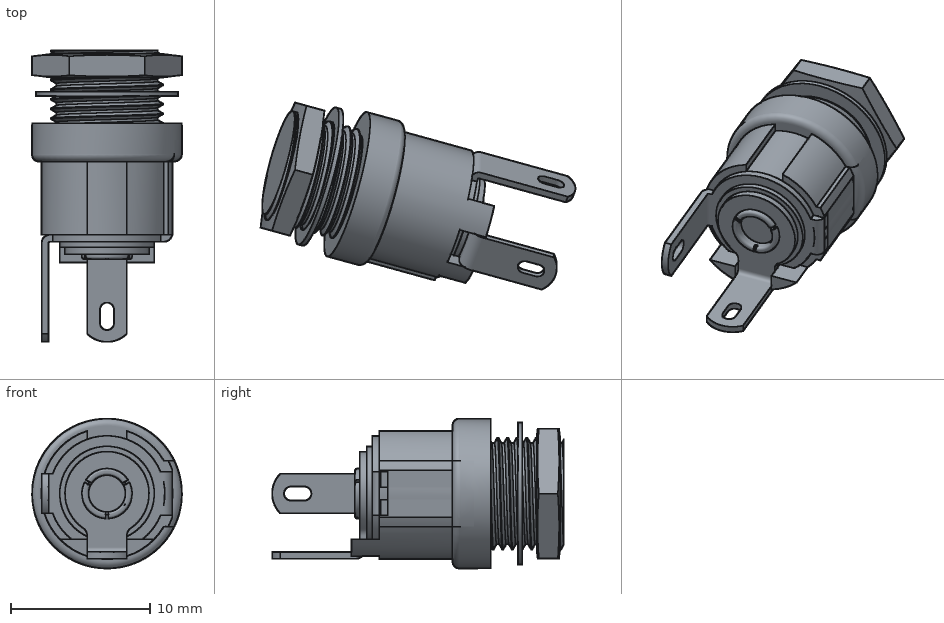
import cadquery as cq
import math


NOSE_Y = 5.25
FLANGE_BACK_Y = -2.77
BODY_BACK_Y = -8.05
FOOT_BACK_Y = -10.04
TERMINAL_END_Y = -15.75

FLANGE_R = 5.4
FLANGE_FILLET = 0.5
BODY_R = 4.72
SLOT_FLOOR_R = 4.15
FOOT_TOP_Z = -3.28
RIB_R = 5.0
RIB_FLAT_X = 4.7
RIB_WIDTH = 4.75
RIB_ROOT_FRONT_Y = -1.22
RIB_ROOT_FILLET = 0.57

THREAD_PITCH = 0.7
THREAD_CREST_R = 4.03
THREAD_ROOT_R = 3.65
THREAD_CREST_WIDTH = 0.06
THREAD_HALF_ANGLE = 30
THREAD_START_Y = -0.71
THREAD_TURNS = 10
THREAD_EMBED = 0.06

NUT_ACROSS_FLATS = 9.35
NUT_BACK_Y = 3.28
NUT_FRONT_Y = 4.98
NUT_CORNER_DROP = 0.17
WASHER_R = 5.12
WASHER_BACK_Y = 1.93
WASHER_THICKNESS = 0.34

SHEET = 0.5
OUTER_PLATE_R = SLOT_FLOOR_R
INSULATOR_R = 3.4
INSULATOR_THICKNESS = 0.4
INNER_PLATE_R = 3.02
INSULATOR_FRONT_Y = BODY_BACK_Y - SHEET
INNER_PLATE_FRONT_Y = INSULATOR_FRONT_Y - INSULATOR_THICKNESS
INNER_PLATE_BACK_Y = INNER_PLATE_FRONT_Y - SHEET

TERMINAL_WIDTH = 2.85
TERMINAL_OFFSET = 4.7
TERMINAL_TIP_HEIGHT = 0.59
EYE_WIDTH = 0.99
EYE_LENGTH = 1.95
EYE_Y = -13.9
SIDE_BEND_R = 0.06
LOWER_BEND_R = 0.34
NECK_FILLET = 0.63

LEG_WIDTH = 3.1
LEG_BEND_R = 0.13
LEG_LENGTH = 0.5

SHANK_R = 1.51
RIVET_R = 1.8
RIVET_BORE_R = 1.32
RIVET_BACK_Y = -9.79
RIVET_FILLET = 0.19
RIVET_FLOOR_Y = -9.15
RIVET_SLIT_WIDTH = 0.19
RIVET_SLIT_ANGLES = (30, 150, 270)


def cylinder(radius, front_y, back_y):
    """A solid cylinder on the Y axis between two planes."""
    return (
        cq.Workplane("YZ")
        .polyline([(back_y, 0), (back_y, radius), (front_y, radius), (front_y, 0)])
        .close()
        .revolve(360, (0, 0), (1, 0))
    )


def block(x_range, y_range, z_range):
    """An upright box given by its limits along X, Y and Z."""
    sizes = [high - low for low, high in (x_range, y_range, z_range)]
    corner = (x_range[0], y_range[0], z_range[0])
    return cq.Workplane("XY").box(*sizes, centered=False).translate(corner)



def threaded_nose():
    """The nose with its right-hand thread, cut off square at both ends."""
    inner_r = THREAD_ROOT_R - THREAD_EMBED
    half_crest = THREAD_CREST_WIDTH / 2
    half_base = half_crest + (THREAD_CREST_R - inner_r) * math.tan(math.radians(THREAD_HALF_ANGLE))
    helix = cq.Wire.makeHelix(THREAD_PITCH, THREAD_TURNS * THREAD_PITCH, THREAD_ROOT_R)
    ridge = (
        cq.Workplane("XZ")
        .polyline([
            (inner_r, -half_base),
            (THREAD_CREST_R, -half_crest),
            (THREAD_CREST_R, half_crest),
            (inner_r, half_base),
        ])
        .close()
        .sweep(cq.Workplane(helix), isFrenet=True)
        .rotate((0, 0, 0), (1, 0, 0), -90)
        .translate((0, THREAD_START_Y, 0))
    )
    ridge = ridge.intersect(cylinder(FLANGE_R, NOSE_Y, 0))
    return cylinder(THREAD_ROOT_R, NOSE_Y, 0).union(ridge)


def rounded_flange(front_y, fillet):
    """A disc of the flange radius with a rounded back edge."""
    return cylinder(FLANGE_R, front_y, FLANGE_BACK_Y).faces("<Y").edges().fillet(fillet)


def rib():
    """Flat-topped rib along the +X side of the body."""
    half_width = RIB_WIDTH / 2
    bar = block((0, RIB_FLAT_X), (BODY_BACK_Y, FLANGE_BACK_Y), (-half_width, half_width))
    return bar.intersect(cylinder(RIB_R, FLANGE_BACK_Y, BODY_BACK_Y))


def flange():
    """The flange, with the root of the rib filling a notch in its rim."""
    half_width = RIB_WIDTH / 2
    root_space = block((0, 2 * FLANGE_R), (FLANGE_BACK_Y, RIB_ROOT_FRONT_Y), (-half_width, half_width))
    rib_root = rounded_flange(RIB_ROOT_FRONT_Y, RIB_ROOT_FILLET).intersect(root_space)
    return rounded_flange(0, FLANGE_FILLET).cut(root_space).union(rib_root, clean=False)


def feet():
    """Two feet behind the body, on either side of the lower terminal."""
    segment = cylinder(BODY_R, BODY_BACK_Y, FOOT_BACK_Y).intersect(
        block((-BODY_R, BODY_R), (FOOT_BACK_Y, BODY_BACK_Y), (-BODY_R, FOOT_TOP_Z)))
    half_gap = TERMINAL_WIDTH / 2
    return segment.cut(block((-half_gap, half_gap), (FOOT_BACK_Y, BODY_BACK_Y), (-BODY_R, 0)))


def top_slot():
    """Round-floored slot along the top of the body."""
    half_width = TERMINAL_WIDTH / 2
    opening = block((-half_width, half_width), (BODY_BACK_Y, FLANGE_BACK_Y), (0, FLANGE_R))
    return opening.cut(cylinder(SLOT_FLOOR_R, FLANGE_BACK_Y, BODY_BACK_Y))


def make_housing():
    body = cylinder(BODY_R, FLANGE_BACK_Y, BODY_BACK_Y).union(rib()).union(feet())
    body = body.cut(top_slot()).cut(anchor_leg())
    return flange().union(body, clean=False).union(threaded_nose(), clean=False)



def make_nut():
    """Hexagon nut with both faces coned from the bore down to the corners."""
    corner_r = NUT_ACROSS_FLATS / math.sqrt(3)
    hexagon = (
        cq.Workplane("XZ", origin=(0, NUT_FRONT_Y, 0))
        .polygon(6, 2 * corner_r)
        .extrude(NUT_FRONT_Y - NUT_BACK_Y)
    )
    double_cone = (
        cq.Workplane("YZ")
        .polyline([
            (NUT_BACK_Y, 0),
            (NUT_BACK_Y, THREAD_CREST_R),
            (NUT_BACK_Y + NUT_CORNER_DROP, corner_r),
            (NUT_FRONT_Y - NUT_CORNER_DROP, corner_r),
            (NUT_FRONT_Y, THREAD_CREST_R),
            (NUT_FRONT_Y, 0),
        ])
        .close()
        .revolve(360, (0, 0), (1, 0))
    )
    return hexagon.intersect(double_cone).cut(cylinder(THREAD_CREST_R, NUT_FRONT_Y, NUT_BACK_Y))


def make_washer():
    front_y = WASHER_BACK_Y + WASHER_THICKNESS
    disc = cylinder(WASHER_R, front_y, WASHER_BACK_Y)
    return disc.cut(cylinder(THREAD_CREST_R, front_y, WASHER_BACK_Y))



def bent_strip(reach, front_y, end_y, bend_r, width):
    """A strip that runs out to -reach along X, makes a quarter bend and runs on along -Y to end_y."""
    outer_r = bend_r + SHEET
    centre_x = outer_r - reach
    centre_y = front_y - outer_r
    outer_offset = outer_r * math.sqrt(0.5)
    inner_offset = bend_r * math.sqrt(0.5)
    return (
        cq.Workplane("XY", origin=(0, 0, -width / 2))
        .moveTo(0, front_y)
        .lineTo(centre_x, front_y)
        .threePointArc((centre_x - outer_offset, centre_y + outer_offset), (-reach, centre_y))
        .lineTo(-reach, end_y)
        .lineTo(SHEET - reach, end_y)
        .lineTo(SHEET - reach, centre_y)
        .threePointArc((centre_x - inner_offset, centre_y + inner_offset), (centre_x, centre_y + bend_r))
        .lineTo(0, front_y - SHEET)
        .close()
        .extrude(width)
    )


def terminal(front_y, bend_r):
    """A solder terminal on the -X side with a rounded tip and an oblong eye."""
    half_width = TERMINAL_WIDTH / 2
    shoulder_y = TERMINAL_END_Y + TERMINAL_TIP_HEIGHT
    strip = bent_strip(TERMINAL_OFFSET, front_y, TERMINAL_END_Y, bend_r, TERMINAL_WIDTH)
    outline = (
        cq.Workplane("YZ", origin=(-TERMINAL_OFFSET, 0, 0))
        .moveTo(front_y, -half_width)
        .lineTo(shoulder_y, -half_width)
        .threePointArc((TERMINAL_END_Y, 0), (shoulder_y, half_width))
        .lineTo(front_y, half_width)
        .close()
        .extrude(TERMINAL_OFFSET)
    )
    eye = (
        cq.Workplane("YZ", origin=(-TERMINAL_OFFSET, 0, 0))
        .center(EYE_Y, 0)
        .slot2D(EYE_LENGTH, EYE_WIDTH)
        .extrude(SHEET)
    )
    return strip.intersect(outline).cut(eye)


def anchor_leg():
    """The leg on the +X side, bent forward into the housing."""
    back_y = BODY_BACK_Y - SHEET
    end_y = BODY_BACK_Y + LEG_BEND_R + LEG_LENGTH
    leg = bent_strip(RIB_FLAT_X, -back_y, -end_y, LEG_BEND_R, LEG_WIDTH)
    return leg.rotate((0, 0, 0), (0, 0, 1), 180)


def shank_hole(front_y, back_y):
    return cylinder(SHANK_R, front_y, back_y)


def make_outer_contact():
    """Plate against the housing, with the side terminal and the anchor leg."""
    back_y = BODY_BACK_Y - SHEET
    plate = cylinder(OUTER_PLATE_R, BODY_BACK_Y, back_y)
    foot_space = block((-BODY_R, BODY_R), (back_y, BODY_BACK_Y), (-BODY_R, FOOT_TOP_Z))
    plate = plate.cut(foot_space).union(terminal(BODY_BACK_Y, SIDE_BEND_R)).union(anchor_leg())
    return plate.cut(shank_hole(BODY_BACK_Y, back_y))


def make_insulator():
    disc = cylinder(INSULATOR_R, INSULATOR_FRONT_Y, INNER_PLATE_FRONT_Y)
    return disc.cut(shank_hole(INSULATOR_FRONT_Y, INNER_PLATE_FRONT_Y))


def make_inner_contact():
    """Rear plate with the lower terminal on a filleted neck."""
    lower_terminal = terminal(INNER_PLATE_FRONT_Y, LOWER_BEND_R).rotate((0, 0, 0), (0, 1, 0), -90)
    plate = cylinder(INNER_PLATE_R, INNER_PLATE_FRONT_Y, INNER_PLATE_BACK_Y).union(lower_terminal)
    half_width = TERMINAL_WIDTH / 2
    neck_z = -math.sqrt(INNER_PLATE_R**2 - half_width**2)
    for x in (-half_width, half_width):
        corner = cq.selectors.NearestToPointSelector((x, INNER_PLATE_BACK_Y + SHEET / 2, neck_z))
        plate = plate.edges("|Y").edges(corner).fillet(NECK_FILLET)
    return plate.cut(shank_hole(INNER_PLATE_FRONT_Y, INNER_PLATE_BACK_Y))



def make_pin():
    """Shank through the stack, spread over the rear plate as a slit, hollow rivet head."""
    bore = cylinder(RIVET_BORE_R, INNER_PLATE_BACK_Y, RIVET_BACK_Y)
    head = cylinder(RIVET_R, INNER_PLATE_BACK_Y, RIVET_BACK_Y).cut(bore)
    head = head.faces("<Y").edges().fillet(RIVET_FILLET)
    half_slit = RIVET_SLIT_WIDTH / 2
    slit = block((0, FLANGE_R), (RIVET_BACK_Y, INNER_PLATE_BACK_Y), (-half_slit, half_slit))
    for angle in RIVET_SLIT_ANGLES:
        head = head.cut(slit.rotate((0, 0, 0), (0, 1, 0), -angle))
    shank = cylinder(SHANK_R, BODY_BACK_Y, INNER_PLATE_BACK_Y)
    cup = cylinder(RIVET_BORE_R, RIVET_FLOOR_Y, INNER_PLATE_BACK_Y)
    return shank.cut(cup).union(head)


housing = make_housing()
nut = make_nut()
washer = make_washer()
outer_contact = make_outer_contact()
insulator = make_insulator()
inner_contact = make_inner_contact()
pin = make_pin()

result = cq.Compound.makeCompound([
    housing.val(),
    nut.val(),
    washer.val(),
    outer_contact.val(),
    insulator.val(),
    inner_contact.val(),
    pin.val(),
])